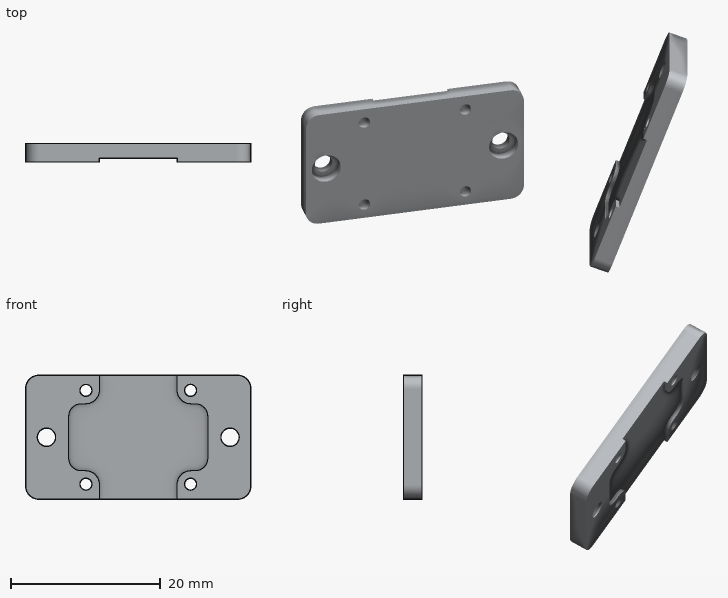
import cadquery as cq

length = 30.1
thickness = 2.53
height = 16.6
corner_radius = 1.8

recess_depth = 0.5
recess_width = 18.57
recess_height = 8.95
recess_corner_radius = 1.7
channel_width = 10.38
shoulder_radius = 1.8

mounting_diameter = 2.4
mounting_spacing = 24.5
counterbore_diameter = 4.0
counterbore_depth = 1.38
screw_diameter = 1.57
screw_spacing_x = 13.97
screw_spacing_z = 12.52


def front_plane():
    """Sketch plane on the front face: local x is X, local y is Z, normal is -Y."""
    return cq.Workplane("XZ", origin=(0, -thickness / 2, 0))


def make_plate():
    plate = cq.Workplane("XY").box(length, thickness, height)
    return plate.edges("|Y").fillet(corner_radius)


def make_recess():
    """Rounded central pocket crossed by a channel open at the top and bottom."""
    channel = front_plane().rect(channel_width, 2 * height).extrude(-recess_depth)
    pocket = front_plane().rect(recess_width, recess_height).extrude(-recess_depth)
    pocket = pocket.edges("|Y").fillet(recess_corner_radius)
    recess = pocket.union(channel)

    half_x = channel_width / 2
    half_z = recess_height / 2
    margin = 0.03
    shoulders = recess.edges("|Y").edges(
        cq.selectors.BoxSelector(
            (-half_x - margin, -thickness, -half_z - margin),
            (half_x + margin, thickness, half_z + margin),
        )
    )
    return shoulders.fillet(shoulder_radius)


def make_holes():
    mounting_points = [(-mounting_spacing / 2, 0), (mounting_spacing / 2, 0)]
    mounting = front_plane().pushPoints(mounting_points)
    mounting = mounting.circle(mounting_diameter / 2).extrude(-thickness)
    counterbores = cq.Workplane("XZ", origin=(0, thickness / 2, 0)).pushPoints(mounting_points)
    counterbores = counterbores.circle(counterbore_diameter / 2).extrude(counterbore_depth)
    screws = front_plane().rect(screw_spacing_x, screw_spacing_z, forConstruction=True).vertices()
    screws = screws.circle(screw_diameter / 2).extrude(-thickness)
    return mounting.union(counterbores).union(screws)


result = make_plate().cut(make_recess()).cut(make_holes())